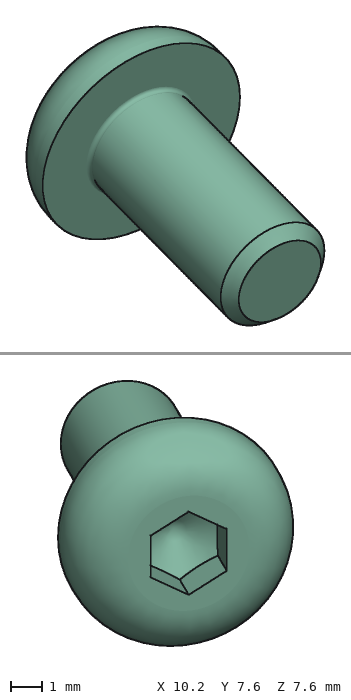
import cadquery as cq
import math

total_length = 10.2
head_diameter = 7.6
head_height = 2.2
dome_radius = 1.81
shank_diameter = 4.0
tip_chamfer = 0.42
neck_length = 0.18
neck_height = 0.11
neck_bulge = 0.25

socket_across_flats = 2.5
socket_depth = 1.3
socket_cone_angle = 120.0

head_radius = head_diameter / 2
shank_radius = shank_diameter / 2
face_radius = head_radius - dome_radius


def make_body():
    """Revolve the half profile (X along the axis, Y as radius) about X."""
    diagonal = dome_radius * math.sqrt(0.5)
    dome_middle = (dome_radius - diagonal, face_radius + diagonal)
    neck_middle = (
        head_height + neck_length * neck_bulge,
        shank_radius + neck_height * neck_bulge,
    )
    profile = (
        cq.Workplane("XY")
        .lineTo(0, face_radius)
        .threePointArc(dome_middle, (dome_radius, head_radius))
        .lineTo(head_height, head_radius)
        .lineTo(head_height, shank_radius + neck_height)
        .threePointArc(neck_middle, (head_height + neck_length, shank_radius))
        .lineTo(total_length - tip_chamfer, shank_radius)
        .lineTo(total_length, shank_radius - tip_chamfer)
        .lineTo(total_length, 0)
        .close()
    )
    return profile.revolve(360, (0, 0, 0), (1, 0, 0))


def make_socket():
    """Hexagonal socket with corners on Z, ending in a drill-point cone."""
    corner_radius = socket_across_flats / math.sqrt(3)
    cone_depth = corner_radius / math.tan(math.radians(socket_cone_angle / 2))
    cone_tip = socket_depth + cone_depth
    hexagon = (
        cq.Workplane("YZ")
        .transformed(rotate=(0, 0, 90))
        .polygon(6, 2 * corner_radius)
        .extrude(cone_tip)
    )
    drill = (
        cq.Workplane("XY")
        .lineTo(0, corner_radius)
        .lineTo(socket_depth, corner_radius)
        .lineTo(cone_tip, 0)
        .close()
        .revolve(360, (0, 0, 0), (1, 0, 0))
    )
    return hexagon.intersect(drill)


result = make_body().cut(make_socket())